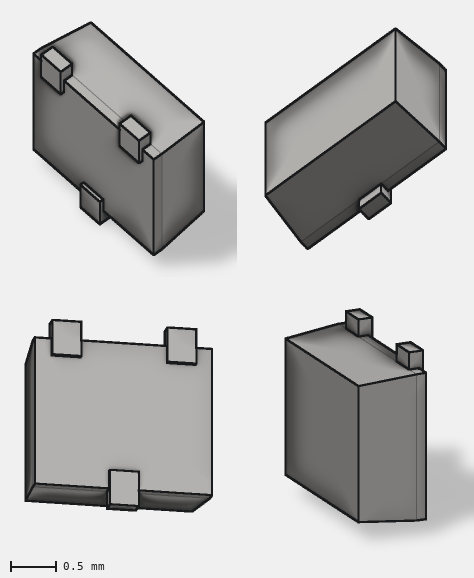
import cadquery as cq
import math

total_height = 2.1
body_width = 2.0
total_depth = 0.85

lead_width = 0.323
lead_length = 0.4
lead_thickness = 0.17
lead_overhang = 0.2
lead_standoff = 0.05
lead_pitch = 1.3

draft_angle = 5.0
body_height = total_height - 2 * lead_overhang
band_depth = lead_thickness - lead_standoff
taper_depth = total_depth - lead_thickness
taper_inset = taper_depth * math.tan(math.radians(draft_angle))

band_front = lead_standoff
taper_front = lead_thickness


def make_band():
    """Straight-sided band at the front of the body."""
    return (
        cq.Workplane("XY")
        .box(body_width, band_depth, body_height, centered=(True, False, True))
        .translate((0, band_front, 0))
    )


def make_tapered_block():
    """Block that narrows on all four sides towards the back."""
    return (
        cq.Workplane("XZ", origin=(0, taper_front, 0))
        .rect(body_width, body_height)
        .workplane(offset=-taper_depth)
        .rect(body_width - 2 * taper_inset, body_height - 2 * taper_inset)
        .loft(ruled=True, combine=True)
    )


def make_lead(x, side):
    """Flat lead centred at x, on the upper (side = 1) or lower (side = -1) edge."""
    z = side * (total_height - lead_length) / 2
    return (
        cq.Workplane("XY")
        .box(lead_width, lead_thickness, lead_length, centered=(True, False, True))
        .translate((x, 0, z))
    )


lead_places = [
    (-lead_pitch / 2, 1),
    (lead_pitch / 2, 1),
    (0, -1),
]

result = make_band().union(make_tapered_block())
for lead_x, lead_side in lead_places:
    result = result.union(make_lead(lead_x, lead_side))